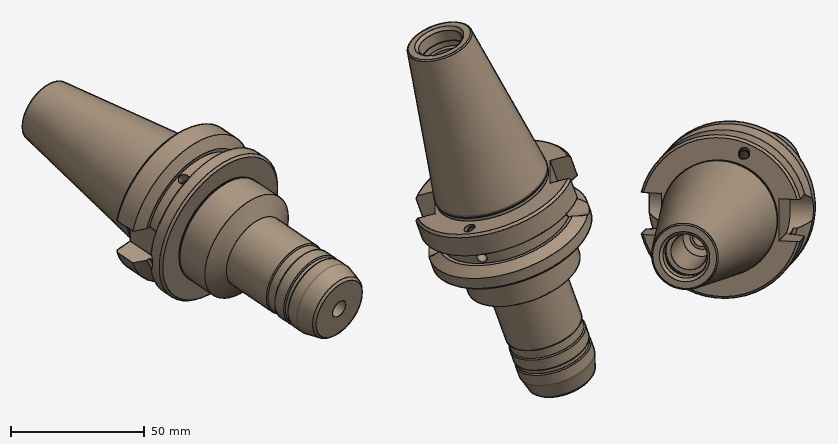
import cadquery as cq
import math

total_length = 155.4
gauge_x = 65.5
flange_start = 67.3
flange_end = 92.5
groove_center = 81.7

gauge_radius = 44.5 / 2
taper_ratio = 7 / 24
taper_end_radius = gauge_radius - gauge_x * taper_ratio / 2
taper_chamfer = 0.5
taper_land = 0.6
neck_radius = 44.0 / 2
neck_start = 66.0

flange_radius = 63.0 / 2
flange_chamfer = 1.0
groove_floor_radius = 25.5
groove_wall_radius = 26.9
groove_half_width = 5.1 / 2
flank_angle = math.radians(30)
flank_run = (flange_radius - groove_wall_radius) * math.tan(flank_angle)
groove_top_half_width = groove_half_width + flank_run

body_radius = gauge_radius
body_undercut_length = 0.6
body_end = 106.5
nose_start = 110.6
nose_radius = 30.0 / 2
nose_taper_start = 148.0
nose_end_radius = 13.2
nose_chamfer = 1.0
nose_groove_radius = 29.0 / 2
nose_grooves = [(131.8, 136.3), (141.0, 143.3)]
nose_groove_edge = 0.5

bore_mouth_radius = 9.6
pilot_radius = 17.0 / 2
pilot_depth = 5.9
relief_radius = 17.5 / 2
relief_length = 2.5
thread_radius = 13.8 / 2
thread_depth = 31.1
drill_tip_radius = 9.0 / 2
through_radius = 7.0 / 2

slot_width = 16.2
slot_end = 88.1
slot_floor = 22.5

coolant_angle = 20.0
coolant_face_radius = 26.5
coolant_tilt = math.radians(30)
coolant_mouth_diameter = 4.0
coolant_mouth_depth = 2.5
coolant_diameter = 3.3
groove_hole_diameter = 4.0


def revolve_about_x(points):
    """Revolve a closed (x, radius) outline about the X axis."""
    outline = cq.Workplane("XY").polyline(points).close()
    return outline.revolve(360, (0, 0, 0), (1, 0, 0))


def make_body():
    points = [
        (0, 0),
        (0, taper_end_radius - taper_chamfer),
        (taper_chamfer, taper_end_radius + taper_chamfer * taper_ratio / 2),
        (gauge_x - taper_land, gauge_radius),
        (gauge_x, gauge_radius),
        (neck_start, neck_radius),
        (flange_start, neck_radius),
        (flange_start, flange_radius - flange_chamfer),
        (flange_start + flange_chamfer, flange_radius),
        (groove_center - groove_top_half_width, flange_radius),
        (groove_center - groove_half_width, groove_wall_radius),
        (groove_center - groove_half_width, groove_floor_radius),
        (groove_center + groove_half_width, groove_floor_radius),
        (groove_center + groove_half_width, groove_wall_radius),
        (groove_center + groove_top_half_width, flange_radius),
        (flange_end - flange_chamfer, flange_radius),
        (flange_end, flange_radius - flange_chamfer),
        (flange_end, neck_radius),
        (flange_end + body_undercut_length, neck_radius),
        (flange_end + body_undercut_length, body_radius),
        (body_end, body_radius),
        (nose_start, nose_radius),
    ]
    for start, end in nose_grooves:
        points += [
            (start, nose_radius),
            (start + nose_groove_edge, nose_groove_radius),
            (end - nose_groove_edge, nose_groove_radius),
            (end, nose_radius),
        ]
    points += [
        (nose_taper_start, nose_radius),
        (total_length - nose_chamfer, nose_end_radius),
        (total_length, nose_end_radius - nose_chamfer),
        (total_length, 0),
    ]
    return revolve_about_x(points)


def make_bore():
    mouth_length = bore_mouth_radius - pilot_radius
    relief_end = pilot_depth + relief_length
    tip_end = thread_depth + (thread_radius - drill_tip_radius) / math.tan(math.radians(60))
    return revolve_about_x([
        (0, 0),
        (0, bore_mouth_radius),
        (mouth_length, pilot_radius),
        (pilot_depth, pilot_radius),
        (pilot_depth, relief_radius),
        (relief_end, relief_radius),
        (relief_end, thread_radius),
        (thread_depth, thread_radius),
        (tip_end, drill_tip_radius),
        (tip_end, through_radius),
        (total_length, through_radius),
        (total_length, 0),
    ])


def make_drive_slot():
    """Round-ended slot on the -Y side, cut from the front of the flange."""
    half_width = slot_width / 2
    arc_start = slot_end - half_width
    return (
        cq.Workplane("XZ", origin=(0, -slot_floor, 0))
        .moveTo(flange_start, -half_width)
        .lineTo(arc_start, -half_width)
        .threePointArc((slot_end, 0), (arc_start, half_width))
        .lineTo(flange_start, half_width)
        .close()
        .extrude(flange_radius)
    )


def drill(start, direction, diameter, depth):
    return cq.Workplane(cq.Solid.makeCylinder(diameter / 2, depth, start, direction))


def make_coolant_passage():
    """Inclined hole from the flange face that meets a radial hole in the groove."""
    direction = cq.Vector(math.cos(coolant_tilt), 0, -math.sin(coolant_tilt))
    face_point = cq.Vector(flange_start, 0, coolant_face_radius)
    lead_in = coolant_mouth_diameter
    start = face_point - direction * lead_in
    mouth = drill(start, direction, coolant_mouth_diameter, lead_in + coolant_mouth_depth)

    reach = (groove_center - flange_start) / math.cos(coolant_tilt)
    inclined = drill(face_point, direction, coolant_diameter, reach)

    meeting_radius = coolant_face_radius - reach * math.sin(coolant_tilt)
    radial = drill(
        cq.Vector(groove_center, 0, meeting_radius),
        cq.Vector(0, 0, 1),
        groove_hole_diameter,
        flange_radius - meeting_radius,
    )
    return mouth.union(inclined).union(radial)


result = make_body().cut(make_bore())
for half_turn in (0, 180):
    slot = make_drive_slot().rotate((0, 0, 0), (1, 0, 0), half_turn)
    passage = make_coolant_passage().rotate((0, 0, 0), (1, 0, 0), coolant_angle + half_turn)
    result = result.cut(slot).cut(passage)